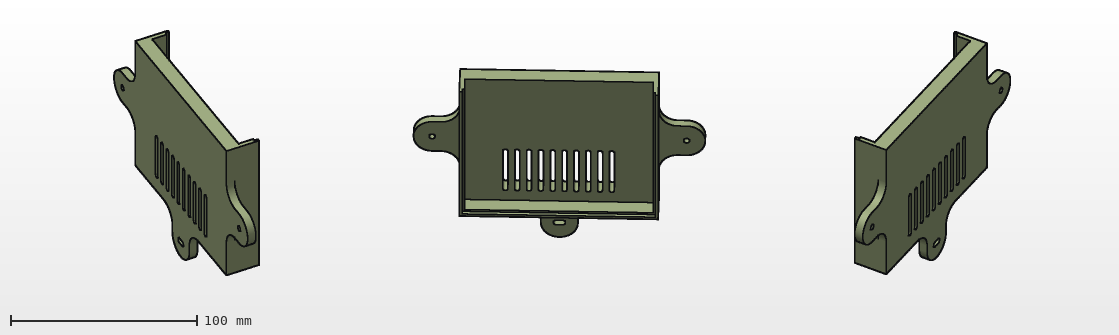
import cadquery as cq

overall_width = 156.7
overall_height = 110.1
depth = 19.7

lug_radius = 10.0
lug_reach = 24.9
lug_thickness = 5.0
hole_diameter = 3.1
slotted_hole_length = 6.5

body_width = overall_width - 2 * lug_reach
body_height = overall_height - lug_reach
front_thickness = 8.8
wall = 2.8
lip = 1.5
rebate_depth = 2.2

vent_count = 10
vent_row_length = 57.2
vent_pitch = vent_row_length / (vent_count - 1)
vent_width = 2.7
vent_length = 28.2
vent_row_x = 0.3
vent_z = 23.5

side_lug_z = body_height / 2
half_width = body_width / 2


def make_body():
    """Solid block with its front face on Y = 0 and its bottom on Z = 0."""
    return cq.Workplane("XY").box(body_width, depth, body_height, centered=(True, False, False))


def open_pocket(edge, start_y, end_y):
    """Cutter that leaves walls of the given thickness at both sides and the bottom."""
    return (
        cq.Workplane("XY")
        .box(body_width - 2 * edge, end_y - start_y, body_height, centered=(True, False, False))
        .translate((0, start_y, edge))
    )


def make_lug(x, z, angle):
    """Lug rooted on the body face at (x, z), turned about Y from pointing down."""
    r = lug_radius
    tip_z = r - lug_reach
    bend = r * (1 - 0.5 ** 0.5)
    profile = (
        cq.Workplane("XZ")
        .moveTo(-2 * r, 0)
        .threePointArc((-r - bend, -bend), (-r, -r))
        .lineTo(-r, tip_z)
        .threePointArc((0, -lug_reach), (r, tip_z))
        .lineTo(r, -r)
        .threePointArc((r + bend, -bend), (2 * r, 0))
        .close()
    )
    lug = profile.extrude(-lug_thickness)
    return lug.rotate((0, 0, 0), (0, 1, 0), angle).translate((x, 0, z))


def front_sketch():
    """Sketch plane on the front face, with Z up; cuts go back along +Y."""
    return cq.Workplane("XZ")


body = make_body()
body = body.cut(open_pocket(wall, front_thickness, depth))
body = body.cut(open_pocket(lip, depth - rebate_depth, depth))

body = body.union(make_lug(0, 0, 0))
body = body.union(make_lug(-half_width, side_lug_z, 90))
body = body.union(make_lug(half_width, side_lug_z, -90))

side_hole_x = overall_width / 2 - lug_radius
side_holes = (
    front_sketch()
    .pushPoints([(-side_hole_x, side_lug_z), (side_hole_x, side_lug_z)])
    .circle(hole_diameter / 2)
    .extrude(-lug_thickness)
)
bottom_hole = (
    front_sketch()
    .center(0, lug_radius - lug_reach)
    .slot2D(slotted_hole_length, hole_diameter)
    .extrude(-lug_thickness)
)

vents = (
    front_sketch()
    .center(vent_row_x, vent_z)
    .rarray(vent_pitch, vent_length, vent_count, 1)
    .slot2D(vent_length, vent_width, 90)
    .extrude(-front_thickness)
)

result = body.cut(side_holes).cut(bottom_hole).cut(vents)